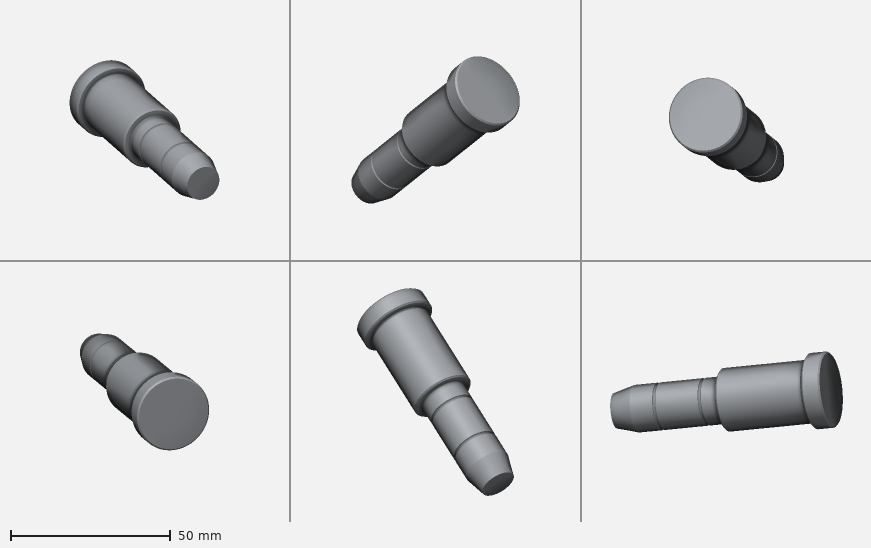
import cadquery as cq
import math

total_length = 71.0
head_end = 6.0
body_end = 35.0
taper_start = 64.0

head_radius = 24.0 / 2
body_radius = 20.0 / 2
pin_radius = 15.0 / 2

edge_chamfer = 0.5
root_fillet = 0.5
taper_angle = 15.0
groove_radius = 0.53
pin_groove_centers = (41.05, 56.0)
neck_groove_radius = 0.46

tip_radius = pin_radius - (total_length - taper_start) * math.tan(math.radians(taper_angle))


def cylinder(start, end, radius):
    """Solid cylinder along X between two stations."""
    return cq.Workplane("YZ").workplane(offset=start).circle(radius).extrude(end - start)


def ring_groove(center, shaft_radius, round_radius):
    """Half-round ring cut, centred on the surface of a shaft."""
    return cq.Workplane("XY").add(
        cq.Solid.makeTorus(shaft_radius, round_radius, cq.Vector(center, 0, 0), cq.Vector(1, 0, 0))
    )


head = cylinder(0, head_end, head_radius).edges().chamfer(edge_chamfer)

body = cylinder(head_end, body_end, body_radius).faces(">X").edges().chamfer(edge_chamfer)

pin = (
    cq.Workplane("XY")
    .moveTo(body_end, 0)
    .lineTo(body_end, pin_radius + root_fillet)
    .radiusArc((body_end + root_fillet, pin_radius), -root_fillet)
    .lineTo(taper_start, pin_radius)
    .lineTo(total_length, tip_radius)
    .lineTo(total_length, 0)
    .close()
    .revolve(360, (0, 0, 0), (1, 0, 0))
)

result = head.union(body).union(pin)

result = result.cut(ring_groove(head_end + neck_groove_radius, body_radius, neck_groove_radius))

for groove_center in pin_groove_centers:
    result = result.cut(ring_groove(groove_center, pin_radius, groove_radius))